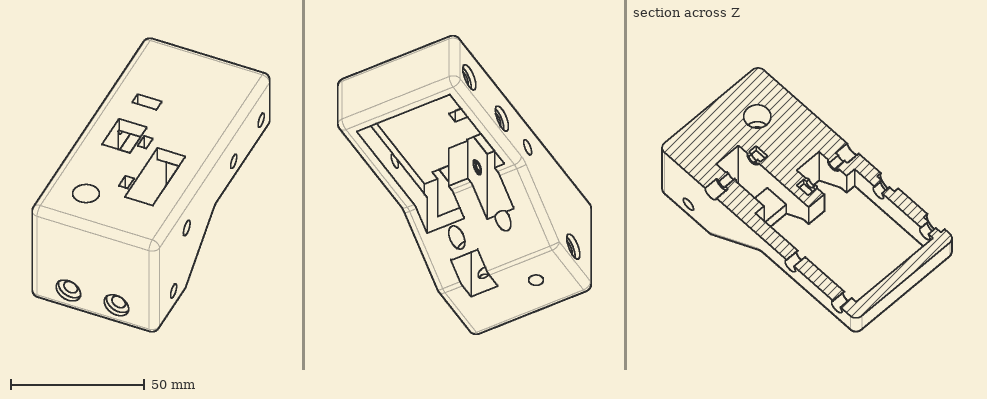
import cadquery as cq
WIDTH = 52.0
LENGTH = 106.0
HEIGHT = 46.0
STEP_HEIGHT = 20.0
SLOPE_FRONT_Y = 28.0
SLOPE_REAR_Y = 55.0
EDGE_RADIUS = 3.0

SCREW_DIAMETER = 5.5
SCREW_HEAD_DIAMETER = 10.0
SCREW_HEAD_DEPTH = 2.0
LOW_SCREW_Z = 10.0
HIGH_SCREW_Z = 30.0
FRONT_SCREW_Y = 16.0
MIDDLE_SCREW_Y = 70.7
REAR_SCREW_Y = 95.7
TOP_SCREW_HEAD_DEPTH = HEIGHT - STEP_HEIGHT

LEFT_WELL_X = 16.0
RIGHT_WELL_X = 35.75
LEFT_WELL_Y = 51.0
RIGHT_WELL_Y = 28.0
WELL_WIDTH = 11.5
WELL_LENGTH = 15.5
AXLE_Z = 32.0
AXLE_DIAMETER = 3.2
AXLE_HEAD_DIAMETER = 6.0
AXLE_HEAD_DEPTH = 6.0
SPACER_BASE_DIAMETER = 6.0
SPACER_TIP_DIAMETER = 5.0
SPACER_HEIGHT = 0.5
NUT_SLOT_WALL = 1.0
NUT_SLOT_WIDTH = 3.6
NUT_SLOT_LENGTH = 6.0
NUT_SLOT_FLOOR_Z = AXLE_Z - NUT_SLOT_LENGTH / 2

CORD_BAR_LENGTH = 10.25
CORD_SLOT_WIDTH = 10.0
CORD_SLOT_LENGTH = 5.0
CORD_GAP_LENGTH = 4.0
BAR_TOP_Z = STEP_HEIGHT

WALL = 6.0
CHAMBER_TOP_Z = HEIGHT - WALL
CHAMBER_SPLIT_X = RIGHT_WELL_X - WELL_WIDTH / 2
CHAMBER_STEP = 0.7
CHAMBER_LEFT_Y = LEFT_WELL_Y + WELL_LENGTH / 2 - CHAMBER_STEP
CHAMBER_RIGHT_Y = RIGHT_WELL_Y + WELL_LENGTH / 2 + CORD_BAR_LENGTH
LEDGE_WIDTH = 1.1
LEDGE_Z = 33.6


def block(x_min, x_max, y_min, y_max, z_min, z_max):
    """Axis-aligned box between the given limits."""
    size = (x_max - x_min, y_max - y_min, z_max - z_min)
    return cq.Workplane("XY").box(*size, centered=False).translate((x_min, y_min, z_min))


def rod(start, direction, diameter, length):
    """Cylinder that begins at a point and runs along a direction."""
    return cq.Workplane(
        cq.Solid.makeCylinder(diameter / 2, length, cq.Vector(*start), cq.Vector(*direction))
    )


def counterbored_hole(start, direction, length, head_depth):
    """Cutter for a through hole with a screw head recess at its start."""
    shank = rod(start, direction, SCREW_DIAMETER, length)
    return shank.union(rod(start, direction, SCREW_HEAD_DIAMETER, head_depth))


def make_body():
    """Side profile extruded across the width, with every edge rounded."""
    profile = [
        (0, 0),
        (SLOPE_FRONT_Y, 0),
        (SLOPE_REAR_Y, STEP_HEIGHT),
        (LENGTH, STEP_HEIGHT),
        (LENGTH, HEIGHT),
        (0, HEIGHT),
    ]
    body = cq.Workplane("YZ").polyline(profile).close().extrude(WIDTH)
    return body.edges().fillet(EDGE_RADIUS)


def make_chamber():
    """Cavity behind the wells, stepped at the split and widened above a sloped ledge."""
    rear_y = LENGTH - WALL
    left = block(WALL, CHAMBER_SPLIT_X, CHAMBER_LEFT_Y, rear_y, 0, CHAMBER_TOP_Z)
    right = block(CHAMBER_SPLIT_X, WIDTH - WALL, CHAMBER_RIGHT_Y, rear_y, 0, CHAMBER_TOP_Z)
    wall_x = WIDTH - WALL
    widening = (
        cq.Workplane("XZ", origin=(0, rear_y, 0))
        .moveTo(wall_x, LEDGE_Z - LEDGE_WIDTH)
        .lineTo(wall_x + LEDGE_WIDTH, LEDGE_Z)
        .lineTo(wall_x + LEDGE_WIDTH, CHAMBER_TOP_Z)
        .lineTo(wall_x, CHAMBER_TOP_Z)
        .close()
        .extrude(rear_y - CHAMBER_RIGHT_Y)
    )
    return left.union(right).union(widening)


def cut_well(body, centre_x, centre_y, head_face_x, inward):
    """Pulley well with conical spacers, axle hole, head recess and nut slot.

    The axle screw enters at head_face_x and runs along X in the inward direction (+1 or -1).
    """
    half_width = WELL_WIDTH / 2
    half_length = WELL_LENGTH / 2
    well = block(
        centre_x - half_width, centre_x + half_width,
        centre_y - half_length, centre_y + half_length, 0, HEIGHT,
    )
    body = body.cut(well)
    for side in (-1, 1):
        spacer_start = (centre_x + side * half_width, centre_y, AXLE_Z)
        spacer = cq.Solid.makeCone(
            SPACER_BASE_DIAMETER / 2, SPACER_TIP_DIAMETER / 2, SPACER_HEIGHT,
            cq.Vector(*spacer_start), cq.Vector(-side, 0, 0),
        )
        body = body.union(cq.Workplane(spacer))

    slot_near_x = centre_x + inward * (half_width + NUT_SLOT_WALL)
    slot_far_x = slot_near_x + inward * NUT_SLOT_WIDTH
    slot_half = NUT_SLOT_LENGTH / 2
    nut_slot = block(
        min(slot_near_x, slot_far_x), max(slot_near_x, slot_far_x),
        centre_y - slot_half, centre_y + slot_half, NUT_SLOT_FLOOR_Z, HEIGHT,
    )
    axle_start = (head_face_x, centre_y, AXLE_Z)
    direction = (inward, 0, 0)
    axle = rod(axle_start, direction, AXLE_DIAMETER, abs(slot_far_x - head_face_x))
    head = rod(axle_start, direction, AXLE_HEAD_DIAMETER, AXLE_HEAD_DEPTH)
    return body.cut(nut_slot).cut(axle).cut(head)


def cut_cord_openings(body):
    """Slot behind the left well; recessed bar and gap behind the right well."""
    left_bar_end = LEFT_WELL_Y + WELL_LENGTH / 2 + CORD_BAR_LENGTH
    slot = block(
        LEFT_WELL_X - CORD_SLOT_WIDTH / 2, LEFT_WELL_X + CORD_SLOT_WIDTH / 2,
        left_bar_end, left_bar_end + CORD_SLOT_LENGTH, 0, HEIGHT,
    )
    bar_start = RIGHT_WELL_Y + WELL_LENGTH / 2
    bar_end = bar_start + CORD_BAR_LENGTH
    x_min = RIGHT_WELL_X - WELL_WIDTH / 2
    x_max = RIGHT_WELL_X + WELL_WIDTH / 2
    recess = block(x_min, x_max, bar_start, bar_end, BAR_TOP_Z, HEIGHT)
    gap = block(x_min, x_max, bar_end, bar_end + CORD_GAP_LENGTH, 0, HEIGHT)
    return body.cut(slot).cut(recess).cut(gap)


def cut_mounting_holes(body):
    """Counterbored holes from the left, front and top faces."""
    for y, z in (
        (FRONT_SCREW_Y, LOW_SCREW_Z),
        (MIDDLE_SCREW_Y, HIGH_SCREW_Z),
        (REAR_SCREW_Y, HIGH_SCREW_Z),
    ):
        body = body.cut(counterbored_hole((0, y, z), (1, 0, 0), WIDTH, SCREW_HEAD_DEPTH))
    for x in (LEFT_WELL_X, RIGHT_WELL_X):
        body = body.cut(
            counterbored_hole((x, 0, LOW_SCREW_Z), (0, 1, 0), SLOPE_REAR_Y, SCREW_HEAD_DEPTH)
        )
    top_start = (LEFT_WELL_X, FRONT_SCREW_Y, HEIGHT)
    return body.cut(counterbored_hole(top_start, (0, 0, -1), HEIGHT, TOP_SCREW_HEAD_DEPTH))


result = make_body().cut(make_chamber())
result = cut_well(result, LEFT_WELL_X, LEFT_WELL_Y, 0, 1)
result = cut_well(result, RIGHT_WELL_X, RIGHT_WELL_Y, WIDTH, -1)
result = cut_cord_openings(result)
result = cut_mounting_holes(result)